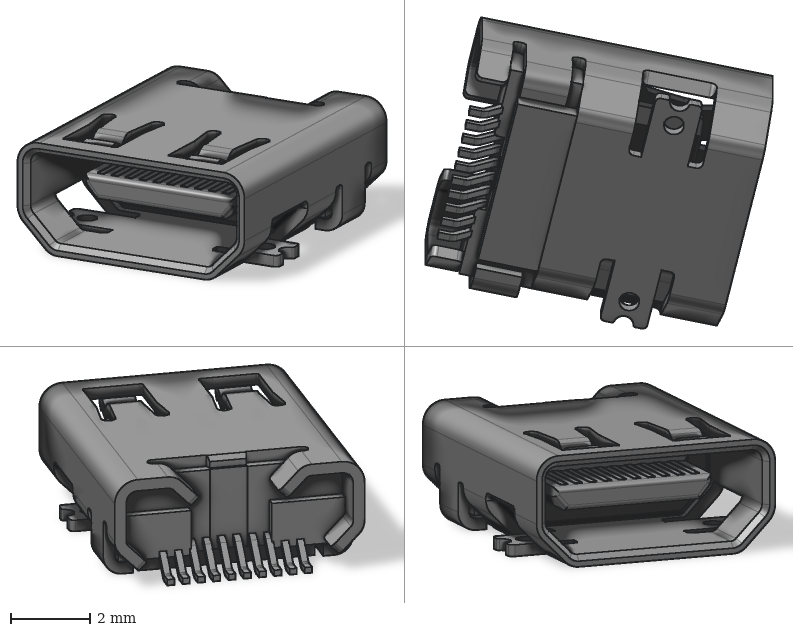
import cadquery as cq
import math


WIDTH = 6.5
LENGTH = 7.5
HEIGHT = 2.9
SHEET = 0.3
SHELL_RADIUS = 0.6
LOWER_CHAMFER = 0.945
MOUTH_BEVEL = 0.15
FRONT_SECTION = 4.82
HALF_WIDTH = WIDTH / 2
INNER_HALF = HALF_WIDTH - SHEET
INNER_TOP = HEIGHT - SHEET
BEND_OUTER = 0.5
BEND_INNER = BEND_OUTER - SHEET
HALF_BEND_TANGENT = math.tan(math.radians(45 / 2))
BEND_SETBACK = BEND_OUTER * HALF_BEND_TANGENT
CORNER_ROUND = 0.15
MARGIN = 0.04

SIDE_FLAP_START = 6.69
SIDE_FLAP_BEND = 1.29
SIDE_FLAP_TIP = 0.42
LOCK_TAB_START = 5.17
LOCK_TAB_END = 6.36
LOCK_TAB_REACH = 2.475
FRONT_SLOT_TOP = 1.3
REAR_SLOT_TOP = 1.485
SIDE_SLOT_ROUND = 0.12
TOP_FLAP_BEND = 1.875
TOP_FLAP_TIP = 1.02
RELIEF_FRONT = 6.16
RELIEF_REAR = 6.465
RELIEF_HALF = 2.085
LIP_CREST = 6.19
LIP_END = 6.315
LIP_ROOT_HALF = 0.52
LIP_END_HALF = 0.47

WINDOW_FRONT = 1.44
WINDOW_REAR = 3.345
WINDOW_TOP_OUTER = 1.365
WINDOW_TOP_INNER = 1.14
WINDOW_ROUND = 0.15
SLIT_END = 1.5
FOOT_FRONT = 1.8
FOOT_REAR = 3.0
FOOT_TIP = 3.225
FOOT_HOLE_X = 2.55
FOOT_HOLE = 0.5
FOOT_ROUND = 0.13
NOTCH_ROUND = 0.07

SPRING_X = 1.51
FINGER_HALF = 0.43
FINGER_ROOT_HALF = 0.53
OPENING_HALF = 0.78
OPENING_ROOT_HALF = 0.91
OPENING_FRONT = 0.6
OPENING_TAPER = 2.02
OPENING_ROOT = 3.045
OPENING_ROOT_ROUND = 0.17
OPENING_FRONT_ROUND = 0.06
FINGER_BEND = 1.88
FINGER_SHOULDER = (1.68, 2.835)
FINGER_DIP = (1.5, 2.68)
FINGER_CREST = (1.21, 2.82)
FINGER_BROW = (1.0, 2.77)
FINGER_NOSE = (0.92, 2.655)
FINGER_CHIN = (1.09, 2.45)

INSULATOR_FACE = 3.45
INSULATOR_REAR = 6.43
INSULATOR_BEVEL = 0.16
INSULATOR_CORNER = 0.345
BASE_HEIGHT = 0.46
BLOCK_HALF = 1.845
SHELF_FRONT = 5.85
SHELF_HEIGHT = 2.325
FLANK_DRAFT = 0.045
WING_INNER = 1.05
WING_TOP = 1.65
STANDOFF_HALF = 2.25
STANDOFF_CLEARANCE = 0.045
NOTCH_HALF = 0.49
NOTCH_DEPTH = 0.03

TONGUE_FRONT = 1.5
TONGUE_HALF = 2.16
TONGUE_TOP = 1.76
TONGUE_SIDE = 1.5
TONGUE_BOTTOM = 1.125
TONGUE_BOTTOM_HALF = 1.84
TONGUE_ROUND = 0.15
FLARE = 0.15

CONTACT_COUNT = 10
CONTACT_PITCH = 0.4
CONTACT_WIDTH = 0.19
CONTACT_RISE = 0.015
CONTACT_FRONT = 1.71
TAIL_THICKNESS = 0.16
TAIL_BEND = 7.16
TAIL_TOP = 0.81
TAIL_ROOT = 6.3
TAIL_FOOT_RADIUS = 0.105
TAIL_KNEE_RADIUS = 0.375


def box(x0, x1, y0, y1, z0, z1):
    return cq.Workplane("XY").box(x1 - x0, y1 - y0, z1 - z0, centered=False).translate((x0, y0, z0))


def extrude_y(points, y0, y1):
    """Extrude an XZ outline from y0 to y1."""
    return cq.Workplane("XZ", origin=(0, y0, 0)).polyline(points).close().extrude(y0 - y1)


def extrude_x(points, x0, x1):
    """Extrude a YZ outline from x0 to x1."""
    return cq.Workplane("YZ", origin=(x0, 0, 0)).polyline(points).close().extrude(x1 - x0)


def both_sides(body):
    return body.union(body.mirror("YZ"))


def tube_outline(inset):
    """Sharp-cornered cross-section of the shell, moved inwards by inset."""
    half = HALF_WIDTH - inset
    drop = LOWER_CHAMFER - inset * (2 - math.sqrt(2))
    top = HEIGHT - inset
    return [
        (-half, top), (half, top), (half, inset + drop), (half - drop, inset),
        (drop - half, inset), (-half, inset + drop),
    ]


def tube(inset, y0, y1):
    body = extrude_y(tube_outline(inset), y0, y1)
    floor_edges = cq.selectors.BoxSelector(
        (-WIDTH, y0 - MARGIN, inset - MARGIN), (WIDTH, y1 + MARGIN, inset + MARGIN)
    )
    body = body.edges("|Y").edges(floor_edges).fillet(BEND_OUTER - inset)
    side_edges = cq.selectors.BoxSelector(
        (-WIDTH, y0 - MARGIN, LOWER_CHAMFER - MARGIN), (WIDTH, y1 + MARGIN, HEIGHT + MARGIN)
    )
    return body.edges("|Y").edges(side_edges).fillet(SHELL_RADIUS - inset)


def folded_sheet(start, corner, tip, y0, y1, tip_round=0):
    """Sheet of constant thickness with one fold; the XZ points lie on its outer face."""
    def unit(a, b):
        length = math.dist(a, b)
        return (b[0] - a[0]) / length, (b[1] - a[1]) / length

    def inward(point, direction):
        return point[0] + SHEET * turn * direction[1], point[1] - SHEET * turn * direction[0]

    first = unit(start, corner)
    second = unit(corner, tip)
    cross = first[0] * second[1] - first[1] * second[0]
    turn = 1 if cross < 0 else -1
    half_turn = math.asin(min(1, abs(cross))) / 2
    shift = SHEET * math.tan(half_turn)
    inner_corner = inward((corner[0] - shift * first[0], corner[1] - shift * first[1]), first)
    outline = [start, corner, tip, inward(tip, second), inner_corner, inward(start, first)]
    sheet = extrude_y(outline, y0, y1)
    if tip_round:
        across = cq.Vector(second[1], 0, -second[0])
        sheet = sheet.edges(cq.selectors.ParallelDirSelector(across)).fillet(tip_round)

    def bend(body, point, radius):
        middle = cq.Vector(point[0], (y0 + y1) / 2, point[1])
        return body.edges("|Y").edges(cq.selectors.NearestToPointSelector(middle)).fillet(radius)

    return bend(bend(sheet, corner, BEND_OUTER), inner_corner, BEND_INNER)


def side_slot(y0, y1, top):
    slot = box(LOCK_TAB_REACH, HALF_WIDTH, y0, y1, 0, top)
    return slot.faces(">Z").edges("|X").fillet(SIDE_SLOT_ROUND)


def shell_body():
    front = tube(0, 0, FRONT_SECTION).cut(tube(SHEET, 0, FRONT_SECTION))
    mouth = tube(MOUTH_BEVEL, -MOUTH_BEVEL, MOUTH_BEVEL).faces(">Y").chamfer(MOUTH_BEVEL)
    front = front.cut(mouth)

    cover = tube(0, FRONT_SECTION, LENGTH).cut(tube(SHEET, FRONT_SECTION, LENGTH))
    cover = cover.cut(box(-HALF_WIDTH, HALF_WIDTH, FRONT_SECTION, LENGTH, 0, SIDE_FLAP_BEND))
    return front.union(cover)


def side_folds():
    lock_tab = folded_sheet(
        (HALF_WIDTH, SIDE_FLAP_BEND), (HALF_WIDTH, 0), (LOCK_TAB_REACH, 0), FRONT_SECTION, LOCK_TAB_END
    )
    corner_z = SIDE_FLAP_BEND - BEND_SETBACK
    flap_run = corner_z - SIDE_FLAP_TIP
    flap = folded_sheet(
        (HALF_WIDTH, REAR_SLOT_TOP), (HALF_WIDTH, corner_z), (HALF_WIDTH - flap_run, SIDE_FLAP_TIP),
        SIDE_FLAP_START, LENGTH, CORNER_ROUND,
    )
    return both_sides(lock_tab.union(flap))


def side_slots():
    front = side_slot(FRONT_SECTION, LOCK_TAB_START, FRONT_SLOT_TOP)
    rear = side_slot(LOCK_TAB_END, SIDE_FLAP_START, REAR_SLOT_TOP)
    return both_sides(front.union(rear))


def rear_relief():
    """Opening between the top flaps and the relief slot at their root."""
    width = RELIEF_REAR - RELIEF_FRONT
    middle = (RELIEF_FRONT + RELIEF_REAR) / 2
    slot = (
        cq.Workplane("XY", origin=(0, middle, INNER_TOP))
        .slot2D(2 * RELIEF_HALF, width).extrude(SHEET)
    )
    return slot.union(box(-TOP_FLAP_BEND, TOP_FLAP_BEND, middle, LENGTH, INNER_TOP, HEIGHT))


def top_flaps():
    corner_x = TOP_FLAP_BEND - BEND_SETBACK
    drop = corner_x - TOP_FLAP_TIP
    flap = folded_sheet(
        (RELIEF_HALF, HEIGHT), (corner_x, HEIGHT), (TOP_FLAP_TIP, HEIGHT - drop),
        RELIEF_REAR, LENGTH, CORNER_ROUND,
    )
    return both_sides(flap)


def centre_lip():
    """Short lip on the rear edge of the top sheet, bevelled down at 45 degrees."""
    lip = (
        cq.Workplane("XY", origin=(0, 0, INNER_TOP))
        .polyline([
            (-LIP_ROOT_HALF, RELIEF_FRONT), (LIP_ROOT_HALF, RELIEF_FRONT),
            (LIP_END_HALF, LIP_END), (-LIP_END_HALF, LIP_END),
        ]).close().extrude(SHEET)
    )
    drop = LIP_END - LIP_CREST
    bevel = extrude_x(
        [(LIP_CREST, HEIGHT), (LIP_END, HEIGHT), (LIP_END, HEIGHT - drop)], -LIP_ROOT_HALF, LIP_ROOT_HALF
    )
    return lip.cut(bevel)


def foot_windows():
    """Side windows with a slanted upper edge, and the slits that free the feet."""
    window = extrude_y(
        [
            (SLIT_END, 0), (HALF_WIDTH, 0), (HALF_WIDTH, WINDOW_TOP_OUTER),
            (INNER_HALF, WINDOW_TOP_INNER), (SLIT_END, WINDOW_TOP_INNER),
        ],
        WINDOW_FRONT, WINDOW_REAR,
    )
    slant = cq.Vector(SHEET, 0, WINDOW_TOP_OUTER - WINDOW_TOP_INNER)
    window = window.edges(cq.selectors.ParallelDirSelector(slant)).fillet(WINDOW_ROUND)
    window = window.faces("<X").edges("|Z").fillet(WINDOW_ROUND)
    return both_sides(window)


def feet():
    foot = box(SLIT_END, FOOT_TIP, FOOT_FRONT, FOOT_REAR, 0, SHEET)
    foot = foot.faces(">X").edges("|Z").fillet(FOOT_ROUND)
    middle = (WINDOW_FRONT + WINDOW_REAR) / 2
    holes = (
        cq.Workplane("XY").pushPoints([(FOOT_HOLE_X, middle), (FOOT_TIP, middle)])
        .circle(FOOT_HOLE / 2).extrude(SHEET)
    )
    foot = foot.cut(holes)
    notch_half = FOOT_HOLE / 2 + MARGIN
    lips = cq.selectors.BoxSelector(
        (FOOT_TIP - MARGIN, middle - notch_half, 0), (FOOT_TIP + MARGIN, middle + notch_half, SHEET)
    )
    return both_sides(foot.edges("|Z").edges(lips).fillet(NOTCH_ROUND))


def spring_opening():
    opening = (
        cq.Workplane("XY", origin=(SPRING_X, 0, INNER_TOP))
        .polyline([
            (-OPENING_HALF, OPENING_FRONT), (OPENING_HALF, OPENING_FRONT),
            (OPENING_HALF, OPENING_TAPER), (OPENING_ROOT_HALF, OPENING_ROOT),
            (FINGER_ROOT_HALF, OPENING_ROOT), (FINGER_HALF, OPENING_TAPER), (FINGER_HALF, FINGER_BEND),
            (-FINGER_HALF, FINGER_BEND), (-FINGER_HALF, OPENING_TAPER),
            (-FINGER_ROOT_HALF, OPENING_ROOT),
            (-OPENING_ROOT_HALF, OPENING_ROOT), (-OPENING_HALF, OPENING_TAPER),
        ]).close().extrude(SHEET)
    )
    opening = opening.faces(">Y").edges("|Z").fillet(OPENING_ROOT_ROUND)
    return both_sides(opening.faces("<Y").edges("|Z").fillet(OPENING_FRONT_ROUND))


def spring_fingers():
    """Finger tips: dip below the sheet, rise to a crest and curl down."""
    def lowered(point):
        return point[0], point[1] - SHEET

    tip = (
        cq.Workplane("YZ", origin=(SPRING_X - FINGER_HALF, 0, 0))
        .moveTo(OPENING_TAPER, HEIGHT).lineTo(FINGER_BEND, HEIGHT)
        .tangentArcPoint(FINGER_SHOULDER, relative=False)
        .lineTo(*FINGER_DIP).lineTo(*FINGER_CREST).lineTo(*FINGER_BROW)
        .lineTo(*FINGER_NOSE).lineTo(*FINGER_CHIN)
        .lineTo(*lowered(FINGER_CREST)).lineTo(*lowered(FINGER_DIP)).lineTo(*lowered(FINGER_SHOULDER))
        .lineTo(FINGER_BEND, INNER_TOP).lineTo(OPENING_TAPER, INNER_TOP)
        .close().extrude(2 * FINGER_HALF)
    )
    return both_sides(tip)


def insulator():
    half = INNER_HALF
    body = extrude_y(tube_outline(SHEET), INSULATOR_FACE, FRONT_SECTION)
    rear = box(-half, half, FRONT_SECTION, INSULATOR_REAR, BASE_HEIGHT, INNER_TOP)
    body = body.edges("|Y and >Z").fillet(INSULATOR_CORNER)
    rear = rear.edges("|Y and >Z").fillet(INSULATOR_CORNER)
    body = body.faces("<Y").chamfer(INSULATOR_BEVEL)

    shelf = extrude_y(
        [
            (BLOCK_HALF, INNER_TOP), (half, INNER_TOP), (half, SHELF_HEIGHT),
            (BLOCK_HALF + FLANK_DRAFT, SHELF_HEIGHT),
        ],
        SHELF_FRONT, INSULATOR_REAR,
    )
    notch = box(
        -NOTCH_HALF, NOTCH_HALF, INSULATOR_REAR - NOTCH_DEPTH, INSULATOR_REAR, BASE_HEIGHT, INNER_TOP
    )
    rear = rear.cut(both_sides(shelf)).cut(notch)
    wing = box(WING_INNER, half, INSULATOR_REAR, SIDE_FLAP_START, BASE_HEIGHT, WING_TOP)
    standoff = box(
        -STANDOFF_HALF, STANDOFF_HALF, FRONT_SECTION, LOCK_TAB_END, STANDOFF_CLEARANCE, BASE_HEIGHT
    )
    return body.union(rear).union(both_sides(wing)).union(standoff)


def tongue_outline(grow):
    half = TONGUE_HALF + grow
    bottom_half = TONGUE_BOTTOM_HALF + grow / 2
    side = TONGUE_SIDE - grow / 2
    return [
        (-half, TONGUE_TOP + grow), (half, TONGUE_TOP + grow), (half, side),
        (bottom_half, TONGUE_BOTTOM - grow), (-bottom_half, TONGUE_BOTTOM - grow), (-half, side),
    ]


def tongue():
    blade = extrude_y(tongue_outline(0), TONGUE_FRONT, INSULATOR_FACE)
    blade = blade.faces("<Y").edges().fillet(TONGUE_ROUND)
    flare = (
        cq.Workplane("XZ", origin=(0, INSULATOR_FACE, 0)).polyline(tongue_outline(FLARE)).close()
        .workplane(offset=FLARE).polyline(tongue_outline(0)).close().loft(ruled=True)
    )
    return blade.union(flare)


def contact():
    """One contact centred on X = 0: a strip on the tongue and a bent solder tail."""
    half = CONTACT_WIDTH / 2
    strip = box(-half, half, CONTACT_FRONT, INSULATOR_FACE, TONGUE_SIDE, TONGUE_TOP + CONTACT_RISE)
    lower_shift = TAIL_THICKNESS * HALF_BEND_TANGENT
    rise = TAIL_TOP - TAIL_THICKNESS
    knee = TAIL_BEND - rise
    lower_bend = TAIL_BEND - lower_shift
    tail = extrude_x(
        [
            (LENGTH, 0), (LENGTH, TAIL_THICKNESS), (TAIL_BEND, TAIL_THICKNESS), (knee, TAIL_TOP),
            (TAIL_ROOT, TAIL_TOP), (TAIL_ROOT, TAIL_TOP - TAIL_THICKNESS),
            (knee - lower_shift, TAIL_TOP - TAIL_THICKNESS), (lower_bend, 0),
        ],
        -half, half,
    )
    bends = [
        (TAIL_BEND, TAIL_THICKNESS, TAIL_FOOT_RADIUS),
        (lower_bend, 0, TAIL_FOOT_RADIUS + TAIL_THICKNESS),
        (knee, TAIL_TOP, TAIL_KNEE_RADIUS),
        (knee - lower_shift, TAIL_TOP - TAIL_THICKNESS, TAIL_KNEE_RADIUS - TAIL_THICKNESS),
    ]
    for y, z, radius in bends:
        corner = cq.selectors.NearestToPointSelector((0, y, z))
        tail = tail.edges("|X").edges(corner).fillet(radius)
    return strip.union(tail)


shell = shell_body().union(side_folds()).cut(side_slots()).cut(rear_relief())
shell = shell.cut(foot_windows()).cut(spring_opening())
shell = shell.union(top_flaps()).union(centre_lip()).union(feet()).union(spring_fingers())

core = insulator().union(tongue())
first_contact = -CONTACT_PITCH * (CONTACT_COUNT - 1) / 2
for index in range(CONTACT_COUNT):
    core = core.union(contact().translate((first_contact + index * CONTACT_PITCH, 0, 0)))

result = shell.union(core)